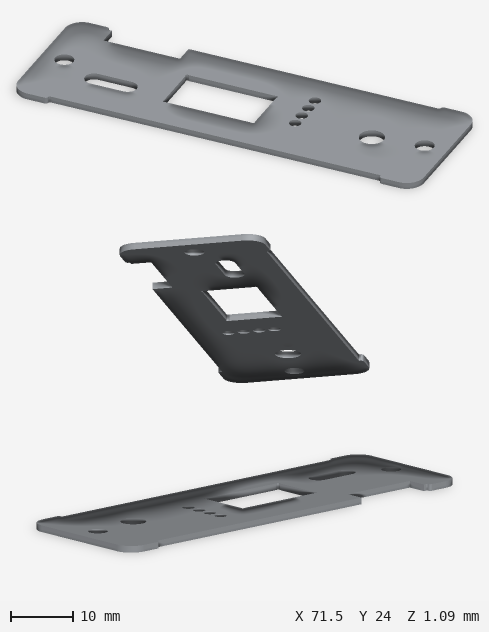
import cadquery as cq
import math

LENGTH = 71.5
END_WIDTH = 24.0
WAIST_WIDTH = 22.6
THICKNESS = 1.09
CORNER_RADIUS = 3.0

TAB_FLAT_LENGTH = 6.05
TAB_ROUND = 0.45
WAIST_ROUND = 0.2

NOTCH_START = 7.2
NOTCH_WIDTH = 13.5
NOTCH_FLOOR_Y = 8.0

MOUNT_DIAMETER = 3.2
MOUNT_INSET = 4.0

SLOT_LENGTH = 9.1
SLOT_WIDTH = 3.2
SLOT_CENTER = (-22.0, -3.35)

WINDOW_LENGTH = 16.0
WINDOW_WIDTH = 9.1
WINDOW_CENTER = (-4.0, -0.6)
RELIEF_RADIUS = 0.3

ROW_DIAMETER = 2.0
ROW_COUNT = 4
ROW_PITCH = 2.54
ROW_X = 10.0
ROW_CENTER_Y = 1.45

BUTTON_DIAMETER = 4.2
BUTTON_CENTER = (23.0, -1.2)


def block(length, width, center):
    """Box as thick as the plate, centred at an XY point."""
    return cq.Workplane("XY").center(*center).rect(length, width).extrude(THICKNESS)


def holes(diameter, centers):
    """Round cutters through the plate."""
    return cq.Workplane("XY").pushPoints(centers).circle(diameter / 2).extrude(THICKNESS)


def plate():
    """Rounded plate whose long edges step in between the end tabs, with rounded steps."""
    body = block(LENGTH, END_WIDTH, (0, 0)).edges("|Z").fillet(CORNER_RADIUS)
    tab_x = LENGTH / 2 - TAB_FLAT_LENGTH
    wall_x = tab_x - TAB_ROUND
    waist_x = wall_x - WAIST_ROUND
    for side in (-1, 1):
        tab_y = side * END_WIDTH / 2
        wall_outer_y = tab_y - side * TAB_ROUND
        waist_y = side * WAIST_WIDTH / 2
        wall_inner_y = waist_y + side * WAIST_ROUND
        recess = (
            cq.Workplane("XY")
            .moveTo(-waist_x, waist_y)
            .lineTo(waist_x, waist_y)
            .radiusArc((wall_x, wall_inner_y), -side * WAIST_ROUND)
            .lineTo(wall_x, wall_outer_y)
            .radiusArc((tab_x, tab_y), side * TAB_ROUND)
            .lineTo(-tab_x, tab_y)
            .radiusArc((-wall_x, wall_outer_y), side * TAB_ROUND)
            .lineTo(-wall_x, wall_inner_y)
            .radiusArc((-waist_x, waist_y), -side * WAIST_ROUND)
            .close()
            .extrude(THICKNESS)
        )
        body = body.cut(recess)
    return body


def edge_notch():
    """Cutter for the notch, open at the +Y edge."""
    depth = END_WIDTH / 2 - NOTCH_FLOOR_Y
    center_x = -LENGTH / 2 + NOTCH_START + NOTCH_WIDTH / 2
    return block(NOTCH_WIDTH, depth, (center_x, NOTCH_FLOOR_Y + depth / 2))


def slot():
    """Cutter for the slot, long along X."""
    return cq.Workplane("XY").center(*SLOT_CENTER).slot2D(SLOT_LENGTH, SLOT_WIDTH).extrude(THICKNESS)


def window():
    """Cutter for the window and its corner reliefs."""
    center_x, center_y = WINDOW_CENTER
    relief_inset = RELIEF_RADIUS / math.sqrt(2)
    offset_x = WINDOW_LENGTH / 2 - relief_inset
    offset_y = WINDOW_WIDTH / 2 - relief_inset
    relief_centers = [
        (center_x + side_x * offset_x, center_y + side_y * offset_y)
        for side_x in (-1, 1)
        for side_y in (-1, 1)
    ]
    reliefs = holes(2 * RELIEF_RADIUS, relief_centers)
    return block(WINDOW_LENGTH, WINDOW_WIDTH, WINDOW_CENTER).union(reliefs)


mount_x = LENGTH / 2 - MOUNT_INSET
mount_centers = [(-mount_x, 0), (mount_x, 0)]
row_start_y = ROW_CENTER_Y - ROW_PITCH * (ROW_COUNT - 1) / 2
row_centers = [(ROW_X, row_start_y + i * ROW_PITCH) for i in range(ROW_COUNT)]

result = (
    plate()
    .cut(edge_notch())
    .cut(slot())
    .cut(window())
    .cut(holes(MOUNT_DIAMETER, mount_centers))
    .cut(holes(ROW_DIAMETER, row_centers))
    .cut(holes(BUTTON_DIAMETER, [BUTTON_CENTER]))
)